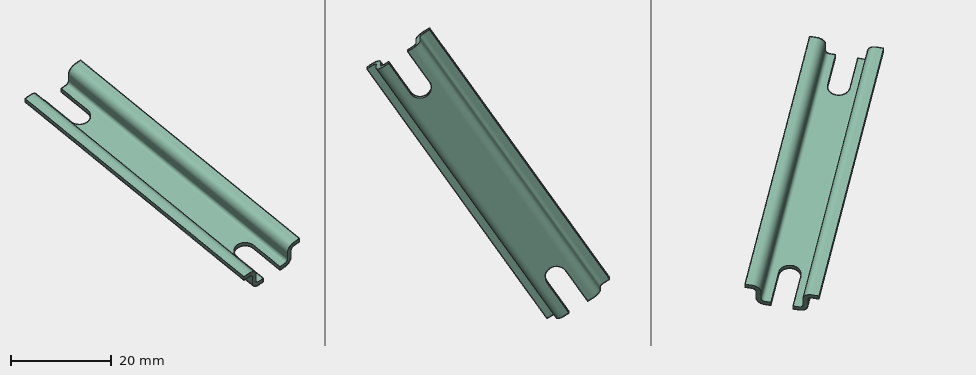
import cadquery as cq

length = 64.0
width = 15.0
height = 5.5

thickness = 1.0
channel_width = 10.5
inner_bend_radius = 0.8
outer_bend_radius = inner_bend_radius + thickness

slot_width = 4.5
slot_depth = 10.0


def box_between(y_size, z_low, z_high):
    """Full-length bar centred on X and Y between two heights."""
    return cq.Workplane("XY").workplane(offset=z_low).rect(length, y_size).extrude(z_high - z_low)


def make_rail():
    """Top-hat section with rounded bends at the flanges and at the base."""
    flange_bottom = height - thickness
    inner_width = channel_width - 2 * thickness

    envelope = box_between(channel_width, 0, height).union(box_between(width, flange_bottom, height))
    envelope = envelope.edges("|X and <Z").fillet(outer_bend_radius)
    under_flange = cq.selectors.BoxSelector(
        (-length, -channel_width / 2 - thickness / 2, flange_bottom - thickness / 2),
        (length, channel_width / 2 + thickness / 2, flange_bottom + thickness / 2),
    )
    envelope = envelope.edges("|X").edges(under_flange).fillet(inner_bend_radius)

    trough = box_between(inner_width, thickness, height).edges("|X and <Z").fillet(inner_bend_radius)
    rail = envelope.cut(trough)
    mouth = cq.selectors.BoxSelector(
        (-length, -channel_width / 2, flange_bottom),
        (length, channel_width / 2, height + thickness),
    )
    return rail.edges("|X").edges(mouth).fillet(outer_bend_radius)


def end_slot(side):
    """Round-ended slot opening through the end at the given side (-1 or +1)."""
    slot_length = 2 * slot_depth
    return (
        cq.Workplane("XY")
        .center(side * length / 2, 0)
        .slot2D(slot_length, slot_width)
        .extrude(thickness)
    )


result = make_rail()
for side in (-1, 1):
    result = result.cut(end_slot(side))